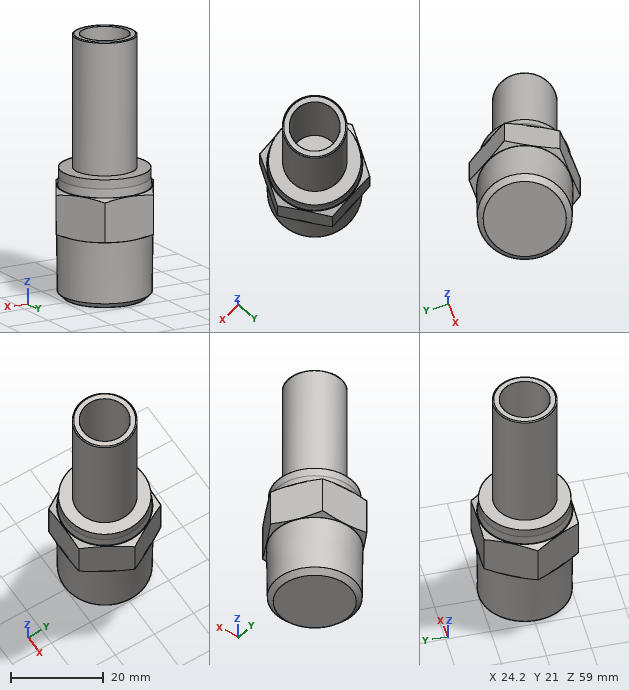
import cadquery as cq
import math

total_height = 59.0
thread_height = 15.0
hex_height = 10.05
collar_taper_height = 1.95
collar_height = 4.0
hex_bottom = thread_height
hex_top = hex_bottom + hex_height
collar_top = hex_top + collar_height

thread_top_diameter = 20.9
thread_end_diameter = 20.55
thread_tip_diameter = 17.95
thread_chamfer_height = 1.25

hex_across_flats = 21.0
hex_across_corners = hex_across_flats / math.cos(math.radians(30))
hex_face_diameter = 20.75
hex_corner_drop = 0.6

collar_base_diameter = 20.4
collar_diameter = 20.0
tube_diameter = 14.0
tube_chamfer_width = 0.3
tube_chamfer_height = 0.2
bore_diameter = 11.0
bore_depth = total_height - collar_top


def revolve_profile(points):
    """Turn a closed (radius, height) outline about the Z axis."""
    return cq.Workplane("XZ").polyline(points).close().revolve(360, (0, 0), (0, 1))


def make_thread_end():
    return revolve_profile([
        (0, 0),
        (thread_tip_diameter / 2, 0),
        (thread_end_diameter / 2, thread_chamfer_height),
        (thread_top_diameter / 2, thread_height),
        (0, thread_height),
    ])


def make_hex():
    """Hexagon with corners on the X axis, both ends trimmed by a shallow cone."""
    prism = (
        cq.Workplane("XY", origin=(0, 0, hex_bottom))
        .polygon(6, hex_across_corners)
        .extrude(hex_height)
    )
    corner_radius = hex_across_corners / 2
    face_radius = hex_face_diameter / 2
    envelope = revolve_profile([
        (0, hex_bottom),
        (face_radius, hex_bottom),
        (corner_radius, hex_bottom + hex_corner_drop),
        (corner_radius, hex_top - hex_corner_drop),
        (face_radius, hex_top),
        (0, hex_top),
    ])
    return prism.intersect(envelope)


def make_collar_and_tube():
    tube_radius = tube_diameter / 2
    return revolve_profile([
        (0, hex_top),
        (collar_base_diameter / 2, hex_top),
        (collar_diameter / 2, hex_top + collar_taper_height),
        (collar_diameter / 2, collar_top),
        (tube_radius, collar_top),
        (tube_radius, total_height - tube_chamfer_height),
        (tube_radius - tube_chamfer_width, total_height),
        (0, total_height),
    ])


def make_bore():
    """Blind bore from the tube mouth down to the collar face."""
    return (
        cq.Workplane("XY", origin=(0, 0, total_height - bore_depth))
        .circle(bore_diameter / 2)
        .extrude(bore_depth)
    )


body = make_thread_end().union(make_hex()).union(make_collar_and_tube())
result = body.cut(make_bore())